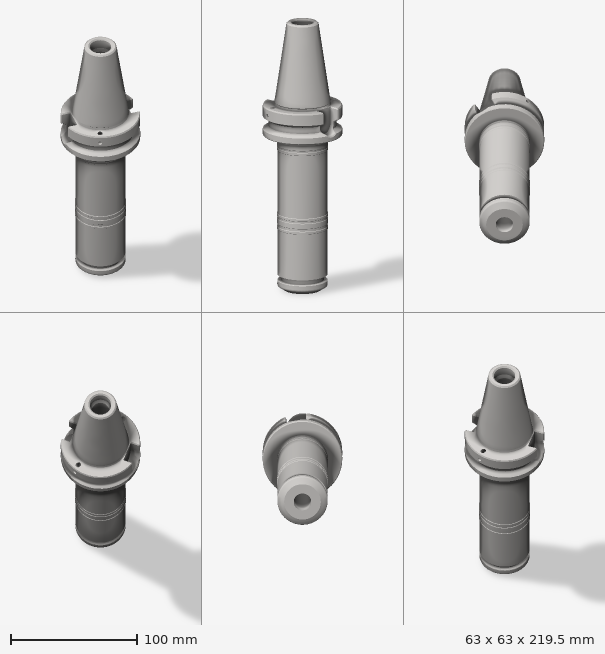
import cadquery as cq
import math

total_height = 219.5
gauge_z = 154.2
flange_top_z = 152.3
flange_bottom_z = 127.0
body_bottom_z = 12.7
nose_top_z = 8.3

taper_ratio = 7 / 24
taper_base_radius = 44.5 / 2
taper_top_chamfer = 1.0
undercut_depth = 0.7
foot_radius = 22.5

flange_radius = 63.0 / 2
flange_bottom_chamfer = 0.7
flange_top_chamfer_width = 0.7
flange_top_chamfer_height = 1.0
groove_root_radius = 27.0
upper_rim_z = 142.6
groove_top_z = 140.0
groove_bottom_z = 135.0
lower_rim_z = 132.3

body_radius = 40.0 / 2
band_radius = 40.5 / 2
band_edge = band_radius - body_radius
bands = [(124.6, 126.2), (118.7, 123.3), (114.7, 117.4), (60.8, 63.2), (54.6, 59.2), (50.2, 52.7)]
neck_radius = 34.0 / 2
nose_edge_chamfer = 0.5
nose_tip_radius = 14.5
nose_cone_angle = 33
nose_rounding = 1.8

bore_radius = 13.8 / 2
counterbore_radius = 17.0 / 2
counterbore_depth = 8.8
counterbore_chamfer = 1.0
shoulder_height = 2.6

slot_width = 16.0
slot_floor = 22.5
slot_bottom_z = 131.2
slot_edge_chamfer = 0.9

inclined_hole_diameter = 4.0
inclined_hole_circle_radius = 26.8
inclination = 30
radial_hole_diameter = 3.3
radial_hole_z = 146.1
coolant_angles = (160, 340)


def make_turned_body():
    """Revolve the outer outline of taper, flange, body, neck and nose."""
    taper_top_radius = taper_base_radius - (total_height - gauge_z) * taper_ratio / 2
    top_chamfer_z = total_height - taper_top_chamfer
    undercut_radius = taper_base_radius - undercut_depth
    undercut_z = gauge_z - undercut_depth
    nose_cone_z = (body_radius - nose_tip_radius) * math.tan(math.radians(nose_cone_angle))
    outline = [
        (0, 0),
        (nose_tip_radius, 0),
        (body_radius, nose_cone_z),
        (body_radius, nose_top_z - nose_edge_chamfer),
        (body_radius - nose_edge_chamfer, nose_top_z),
        (neck_radius, nose_top_z),
        (neck_radius, body_bottom_z),
        (body_radius, body_bottom_z),
        (body_radius, flange_bottom_z),
        (flange_radius - flange_bottom_chamfer, flange_bottom_z),
        (flange_radius, flange_bottom_z + flange_bottom_chamfer),
        (flange_radius, lower_rim_z),
        (groove_root_radius, groove_bottom_z),
        (groove_root_radius, groove_top_z),
        (flange_radius, upper_rim_z),
        (flange_radius, flange_top_z - flange_top_chamfer_height),
        (flange_radius - flange_top_chamfer_width, flange_top_z),
        (foot_radius, flange_top_z),
        (undercut_radius, undercut_z),
        (taper_base_radius, gauge_z),
        (taper_top_radius, top_chamfer_z),
        (taper_top_radius - taper_top_chamfer, total_height),
        (0, total_height),
    ]
    turned = cq.Workplane("XZ").polyline(outline).close().revolve(360, (0, 0), (0, 1))
    nose_corner = cq.selectors.BoxSelector(
        (-flange_radius, -flange_radius, nose_cone_z - nose_edge_chamfer),
        (flange_radius, flange_radius, nose_cone_z + nose_edge_chamfer),
    )
    return turned.edges(nose_corner).fillet(nose_rounding)


def make_band(low_z, high_z):
    """Raised ring around the body with bevelled edges."""
    ring = cq.Workplane("XY").workplane(offset=low_z).circle(band_radius).extrude(high_z - low_z)
    return ring.faces("<Z or >Z").edges().chamfer(band_edge)


def make_bore():
    """Through bore with a chamfered counterbore at the taper end and a conical shoulder."""
    shoulder_z = total_height - counterbore_depth
    outline = [
        (0, 0),
        (bore_radius, 0),
        (bore_radius, shoulder_z - shoulder_height),
        (counterbore_radius, shoulder_z),
        (counterbore_radius, total_height - counterbore_chamfer),
        (counterbore_radius + counterbore_chamfer, total_height),
        (0, total_height),
    ]
    return cq.Workplane("XZ").polyline(outline).close().revolve(360, (0, 0), (0, 1))


def make_drive_slot():
    """Round-bottomed slot on the +Y side, open to the flange top."""
    half_width = slot_width / 2
    arc_centre_z = slot_bottom_z + half_width
    return (
        cq.Workplane("XZ", origin=(0, slot_floor, 0))
        .moveTo(-half_width, gauge_z)
        .lineTo(-half_width, arc_centre_z)
        .threePointArc((0, slot_bottom_z), (half_width, arc_centre_z))
        .lineTo(half_width, gauge_z)
        .close()
        .extrude(slot_floor - flange_radius)
    )


def cut_drive_slots(flanged_body):
    """Cut both slots and bevel their mouths on the upper rim and the lower rim."""
    slot = make_drive_slot()
    slotted = flanged_body.cut(slot).cut(slot.mirror("XZ"))
    half_width = slot_width / 2
    tolerance = 0.02
    mouth_edges = []
    for low_z, high_z in [(groove_top_z, flange_top_z), (slot_bottom_z, lower_rim_z)]:
        for near_y, far_y in [(slot_floor, flange_radius), (-flange_radius, -slot_floor)]:
            mouth = cq.selectors.BoxSelector(
                (-half_width - tolerance, near_y + tolerance, low_z + tolerance),
                (half_width + tolerance, far_y - tolerance, high_z + tolerance),
            )
            mouth_edges += slotted.edges(mouth).vals()
    return slotted.newObject(mouth_edges).chamfer(slot_edge_chamfer)


def make_coolant_hole(angle):
    """Inclined hole from the flange face and the radial hole it meets, at an angle from +X."""
    lean = math.radians(inclination)
    meeting_drop = flange_top_z - radial_hole_z
    meeting_radius = inclined_hole_circle_radius - meeting_drop * math.tan(lean)
    overrun = inclined_hole_diameter
    inclined = cq.Workplane(
        cq.Solid.makeCylinder(
            inclined_hole_diameter / 2,
            meeting_drop / math.cos(lean) + overrun,
            cq.Vector(meeting_radius, 0, radial_hole_z),
            cq.Vector(math.sin(lean), 0, math.cos(lean)),
        )
    )
    radial = (
        cq.Workplane("YZ", origin=(meeting_radius, 0, radial_hole_z))
        .circle(radial_hole_diameter / 2)
        .extrude(flange_radius - meeting_radius)
    )
    return inclined.union(radial).rotate((0, 0, 0), (0, 0, 1), angle)


result = cut_drive_slots(make_turned_body())
for low_z, high_z in bands:
    result = result.union(make_band(low_z, high_z))
result = result.cut(make_bore())
for angle in coolant_angles:
    result = result.cut(make_coolant_hole(angle))